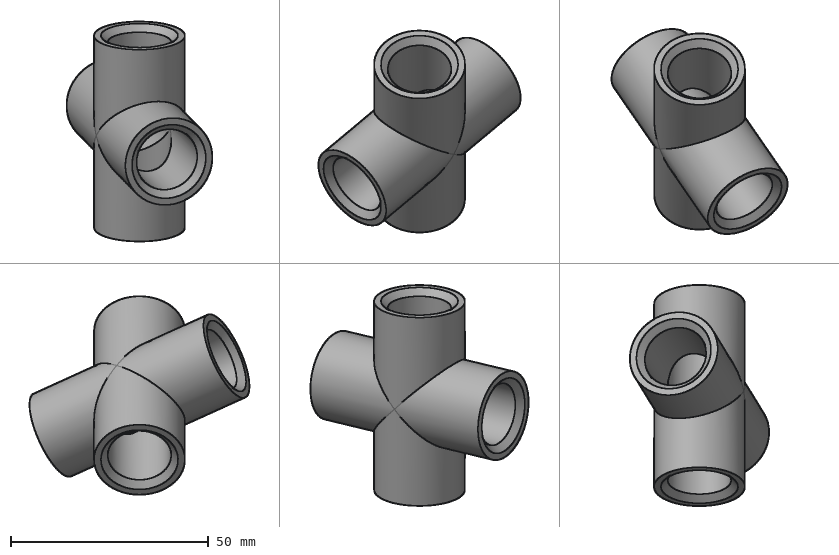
import cadquery as cq

length = 51.0
outer_diameter = 23.0
bore_diameter = 16.0
mouth_diameter = 19.5
countersink_depth = (mouth_diameter - bore_diameter) / 2


def pipe_body(plane):
    """Solid cylinder centred on the origin along the normal of the plane."""
    return cq.Workplane(plane).circle(outer_diameter / 2).extrude(length / 2, both=True)


def pipe_bore(plane):
    """Through bore with a conical countersink at both ends."""
    half_length = length / 2
    bore_radius = bore_diameter / 2
    mouth_radius = mouth_diameter / 2
    cone_start = half_length - countersink_depth
    profile = [
        (0, -half_length),
        (mouth_radius, -half_length),
        (bore_radius, -cone_start),
        (bore_radius, cone_start),
        (mouth_radius, half_length),
        (0, half_length),
    ]
    axis_start = (0, 0)
    axis_end = (0, 1)
    return cq.Workplane(plane).polyline(profile).close().revolve(360, axis_start, axis_end)


cross = pipe_body("XY").union(pipe_body("YZ"))

result = cross.cut(pipe_bore("XZ")).cut(pipe_bore("ZX"))